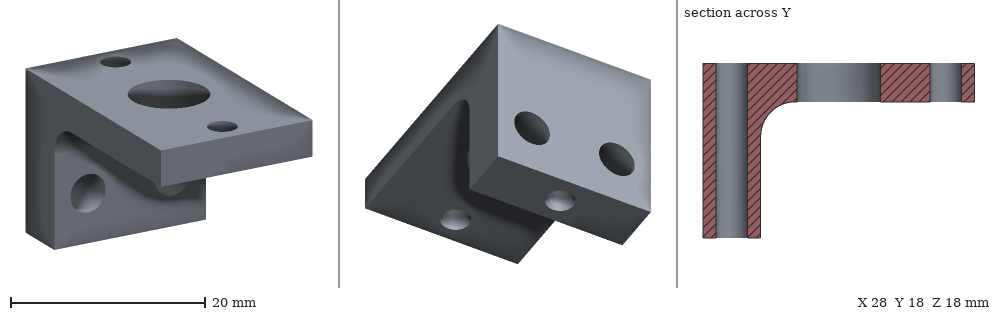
import cadquery as cq

length = 28.0
width = 18.0
height = 18.0

plate_thickness = 4.0
leg_thickness = 6.0
inner_radius = 3.5

bore_diameter = 8.5
pin_diameter = 3.2
pin_spacing = 22.0

mount_diameter = 4.2
mount_spacing = 10.0
mount_height = 5.5


def bracket_body():
    """L-shaped body with its lower left front corner at the origin."""
    underside = height - plate_thickness
    profile = (
        cq.Workplane("XZ")
        .polyline([
            (0, 0),
            (leg_thickness, 0),
            (leg_thickness, underside),
            (length, underside),
            (length, height),
            (0, height),
        ])
        .close()
    )
    body = profile.extrude(-width)
    inner_corner = cq.selectors.NearestToPointSelector((leg_thickness, width / 2, underside))
    return body.edges("|Y").edges(inner_corner).fillet(inner_radius)


def vertical_hole(x, diameter):
    """Cutter along Z over the full height, centred across the width."""
    return cq.Workplane("XY").center(x, width / 2).circle(diameter / 2).extrude(height)


def mount_hole(y):
    """Cutter along X through the leg."""
    return cq.Workplane("YZ").center(y, mount_height).circle(mount_diameter / 2).extrude(leg_thickness)


result = bracket_body().cut(vertical_hole(length / 2, bore_diameter))

for side in (-1, 1):
    result = result.cut(vertical_hole(length / 2 + side * pin_spacing / 2, pin_diameter))
    result = result.cut(mount_hole(width / 2 + side * mount_spacing / 2))